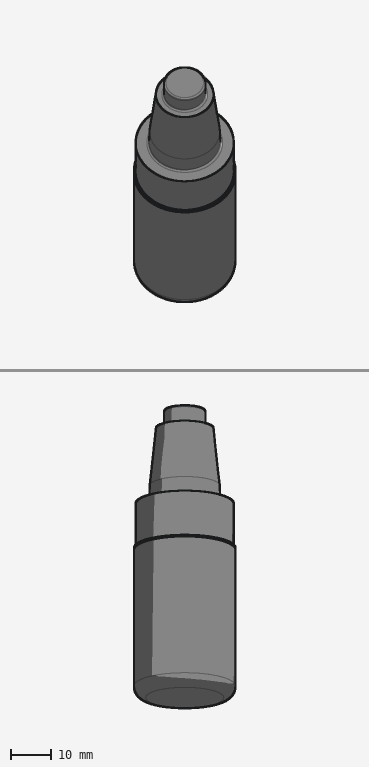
import cadquery as cq

base_diameter = 25.4
base_height = 38.2
bottom_fillet = 3.0

flange_top = 38.6
shoulder_diameter = 24.5
shoulder_top = 50.15
collar_radius = 8.9
collar_top = 54.75
collar_top_radius = 8.8
skirt_top = 69.6
skirt_top_radius = 7.2
tip_diameter = 10.4
total_height = 74.3
tip_edge_fillet = 0.5
root_fillet = 0.5

base_radius = base_diameter / 2
shoulder_radius = shoulder_diameter / 2
tip_radius = tip_diameter / 2

def arc_bulge(fillet):
    """Offset of a quarter arc's middle from the corner it rounds, along each axis."""
    return fillet * (1 - 0.5 ** 0.5)

def add_root_fillet(profile, wall_radius, floor_height):
    """Run along a flat floor towards a wall and curve up into the wall."""
    bulge = arc_bulge(root_fillet)
    return profile.lineTo(wall_radius + root_fillet, floor_height).threePointArc(
        (wall_radius + bulge, floor_height + bulge),
        (wall_radius, floor_height + root_fillet),
    )

def make_base():
    """Barrel with a rounded bottom edge and a flat top."""
    return (
        cq.Workplane("XY")
        .circle(base_radius)
        .extrude(base_height)
        .faces("<Z").edges().fillet(bottom_fillet)
    )

def make_head():
    """Revolved head that stands on the flat top of the base."""
    profile = (
        cq.Workplane("XZ")
        .moveTo(0, base_height)
        .lineTo(base_radius, base_height)
        .lineTo(base_radius, flange_top)
        .lineTo(shoulder_radius, flange_top)
        .lineTo(shoulder_radius, shoulder_top)
    )
    profile = add_root_fillet(profile, collar_radius, shoulder_top)
    profile = profile.lineTo(collar_top_radius, collar_top).lineTo(skirt_top_radius, skirt_top)
    profile = add_root_fillet(profile, tip_radius, skirt_top)

    tip_bulge = arc_bulge(tip_edge_fillet)
    profile = (
        profile.lineTo(tip_radius, total_height - tip_edge_fillet)
        .threePointArc(
            (tip_radius - tip_bulge, total_height - tip_bulge),
            (tip_radius - tip_edge_fillet, total_height),
        )
        .lineTo(0, total_height)
        .close()
    )
    return profile.revolve(360, (0, 0, 0), (0, 1, 0))

base = make_base()
head = make_head()
result = cq.Compound.makeCompound([base.val(), head.val()])